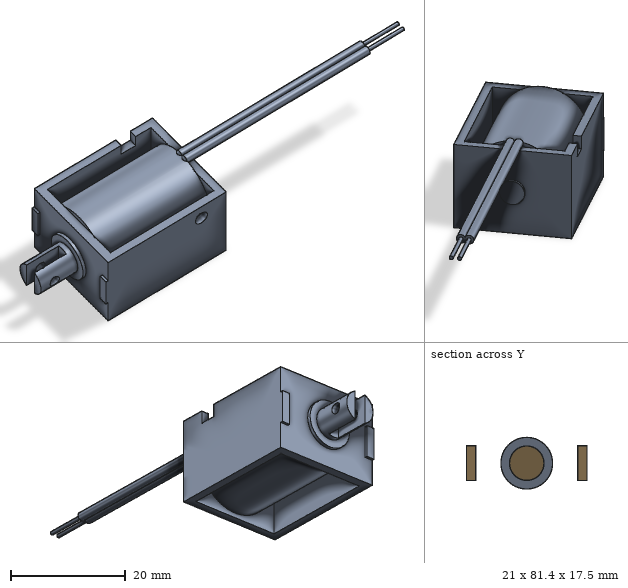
import cadquery as cq


frame_width = 21.0
frame_length = 26.0
frame_height = 16.0
wall = 1.55
front_wall = 1.7
frame_top = frame_height / 2

notch_length = 3.2
notch_depth = 2.45
notch_rear_offset = 4.9
side_hole_diameter = 2.6
side_hole_rear_offset = 5.45
side_hole_top_offset = 3.1

tab_width = 1.6
tab_height = 6.1
tab_thickness = 0.5

coil_diameter = 16.1
coil_rise = 1.0

boss_diameter = 4.5
boss_thickness = 0.6

plunger_diameter = 6.0
bore_diameter = 6.1
bore_depth = 16.3
plunger_reach = 8.95
collar_diameter = 9.0
collar_gap = 0.25
collar_thickness = 0.65
slot_width = 2.2
slot_floor = 1.95
pin_hole_diameter = 2.0
pin_hole_end_offset = 3.0

overall_length = 81.4
overall_height = 17.5
wire_diameter = 1.6
wire_chamfer = 0.4
wire_inset = 0.5
wire_pitch = 1.5
core_diameter = 0.7
core_exposed = 7.9
wire_tip = overall_length - plunger_reach
wire_axis_height = overall_height - frame_top - wire_diameter / 2
wire_start = frame_length - wall - wire_inset


def cylinder_y(diameter, start, end, x=0, z=0):
    """Cylinder parallel to Y, from Y = start to Y = end."""
    axis_start = cq.Vector(x, start, z)
    solid = cq.Solid.makeCylinder(diameter / 2, end - start, axis_start, cq.Vector(0, 1, 0))
    return cq.Workplane(obj=solid)


def block(x_size, y_size, z_size, x, y, z):
    """Box centred on the given point."""
    return cq.Workplane().box(x_size, y_size, z_size).translate((x, y, z))


def make_frame():
    middle = frame_length / 2
    frame = block(frame_width, frame_length, frame_height, 0, middle, 0)
    opening_length = frame_length - wall - front_wall
    opening_y = front_wall + opening_length / 2
    opening = block(frame_width - 2 * wall, opening_length, frame_height, 0, opening_y, 0)
    frame = frame.cut(opening)

    wall_x = (frame_width - wall) / 2
    notch_y = frame_length - notch_rear_offset - notch_length / 2
    notch_z = frame_top - notch_depth / 2
    frame = frame.cut(block(wall, notch_length, notch_depth, -wall_x, notch_y, notch_z))

    side_hole = (
        cq.Workplane("YZ", origin=(frame_width / 2 - wall, 0, 0))
        .center(frame_length - side_hole_rear_offset, frame_top - side_hole_top_offset)
        .circle(side_hole_diameter / 2)
        .extrude(wall)
    )
    frame = frame.cut(side_hole)

    tab_x = (frame_width - tab_width) / 2
    for side in (-1, 1):
        tab = block(tab_width, tab_thickness, tab_height, side * tab_x, -tab_thickness / 2, 0)
        frame = frame.union(tab)
    return frame


def make_wire(x):
    """Insulated lead with a bare tip; its chamfered inner end rests in the coil surface."""
    sheath_end = wire_tip - core_exposed
    sheath = cylinder_y(wire_diameter, wire_start, sheath_end, x, wire_axis_height)
    sheath = sheath.faces("<Y").chamfer(wire_chamfer)
    core = cylinder_y(core_diameter, sheath_end, wire_tip, x, wire_axis_height)
    return sheath.union(core)


def make_housing():
    """Frame with its coil, rear boss and lead wires."""
    housing = make_frame()
    housing = housing.union(cylinder_y(coil_diameter, front_wall, frame_length - wall, z=coil_rise))
    housing = housing.union(cylinder_y(boss_diameter, frame_length, frame_length + boss_thickness))
    for side in (-1, 1):
        housing = housing.union(make_wire(side * wire_pitch / 2))
    return housing.cut(cylinder_y(bore_diameter, 0, bore_depth))


def make_plunger():
    """Round plunger seated on the bore floor, with a stop collar, a forked end and a cross-pin hole."""
    plunger = cylinder_y(plunger_diameter, -plunger_reach, bore_depth)
    collar_front = -collar_gap - collar_thickness
    plunger = plunger.union(cylinder_y(collar_diameter, collar_front, -collar_gap))
    slot_length = plunger_reach - slot_floor
    slot_y = -slot_floor - slot_length / 2
    plunger = plunger.cut(block(slot_width, slot_length, plunger_diameter, 0, slot_y, 0))
    pin_hole = (
        cq.Workplane("YZ")
        .center(pin_hole_end_offset - plunger_reach, 0)
        .circle(pin_hole_diameter / 2)
        .extrude(plunger_diameter / 2, both=True)
    )
    return plunger.cut(pin_hole)


housing = make_housing()
plunger = make_plunger()
result = cq.Compound.makeCompound([housing.val(), plunger.val()])